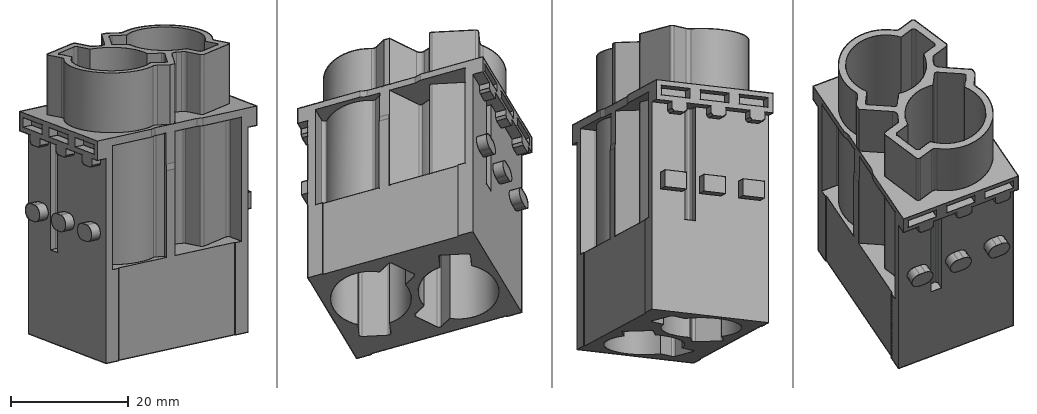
import cadquery as cq
import math

edge_tolerance = 0.05

height = 50.4
body_width = 21.85
body_depth = 30.3
flange_depth = 34.0
flange_bottom = 36.35
flange_top = 39.8
half_width = body_width / 2
half_depth = body_depth / 2
overhang = (flange_depth - body_depth) / 2

socket_center = (-2.0, 7.22)
opposite_center = (-socket_center[0], -socket_center[1])
bore_radius = 6.85
tube_radius = 8.1
outer_key_angle = 18.0
inner_key_angle = 238.0
key_reach = 9.3
key_half_width = 2.7
outer_key_wall_end = 1.38
inner_key_wall_end = 1.18
key_wall_side = 1.5
key_corner_radius = 0.5
tube_half_width = 10.65
tube_valley_radius = 1.0
core_valley_radius = 0.5

window_bottom = 16.4
window_top = 38.4
window_end = 13.75
web_start = 0.3
web_end = 2.1
window_reach = 5.0
window_corner_radius = 0.5

face_recess_half_length = 12.4
face_recess_half_width = 10.74
relief_half_width = 10.6
relief_half_length = 5.53
relief_floor_half_length = 4.44
relief_bottom = 31.8
relief_ramp_top = 32.9

slit_left = -4.71
slit_right = -2.75
slit_depth = 2.2
slit_corner_radius = 0.35

pitch = 7.3
columns = (-pitch, 0.0, pitch)
pocket_width = 5.36
pocket_bottom = 37.24
pocket_height = 1.7
pocket_depth = overhang
hook_offset = 0.7
hook_width = 2.8
hook_drop = 1.65
hook_chamfer = 0.42
peg_width = 4.0
peg_height = 2.95
peg_center_z = 22.72


def block(x_range, y_range, z_range):
    """Box spanning the given coordinate ranges."""
    (x0, x1), (y0, y1), (z0, z1) = x_range, y_range, z_range
    return cq.Workplane("XY").box(x1 - x0, y1 - y0, z1 - z0, centered=False).translate((x0, y0, z0))


def half_turn(shape):
    """The shape turned half a turn about the Z axis."""
    return shape.rotate((0, 0, 0), (0, 0, 1), 180)


def with_opposite(shape):
    """The shape joined with its half-turned copy."""
    return shape.union(half_turn(shape))


def socket_profile(radius, outer_reach, inner_reach, tab_half_width, bottom, top):
    """Cylinder with two radial key tabs, placed on the first socket axis."""
    depth = top - bottom
    shape = cq.Workplane("XY").circle(radius).extrude(depth)
    for angle, reach in ((outer_key_angle, outer_reach), (inner_key_angle, inner_reach)):
        tab = block((0, reach), (-tab_half_width, tab_half_width), (0, depth))
        shape = shape.union(tab.rotate((0, 0, 0), (0, 0, 1), angle))
    return shape.translate((*socket_center, bottom))


def axis_distance(edge, axes):
    """Distance of a vertical edge from the nearest of the given socket axes."""
    point = edge.Center()
    return min(math.hypot(point.x - x, point.y - y) for x, y in axes)


def fillet_where(shape, radius, is_chosen):
    """Round the vertical edges that satisfy a condition."""
    edges = [edge for edge in shape.edges("|Z").vals() if is_chosen(edge)]
    return shape.newObject(edges).fillet(radius)


def make_tubes(valley_radius, bottom, top):
    """Joined outer shape of both sockets, with rounded corners and valleys."""
    outer_reach = key_reach + outer_key_wall_end
    inner_reach = key_reach + inner_key_wall_end
    tab_half_width = key_half_width + key_wall_side
    tube = socket_profile(tube_radius, outer_reach, inner_reach, tab_half_width, bottom, top)
    tubes = with_opposite(tube)
    trim = block((-tube_half_width, tube_half_width), (-flange_depth, flange_depth), (bottom, top))
    tubes = tubes.intersect(trim)
    valley_limit = tube_radius + edge_tolerance
    corner_limit = math.hypot(outer_reach, tab_half_width) - edge_tolerance
    axes = (socket_center, opposite_center)
    tubes = fillet_where(tubes, valley_radius, lambda edge: axis_distance(edge, axes) < valley_limit)
    return fillet_where(tubes, key_corner_radius, lambda edge: axis_distance(edge, axes) > corner_limit)


def make_bores():
    """Keyed openings that run through the full height."""
    bore = socket_profile(bore_radius, key_reach, key_reach, key_half_width, 0, height)
    corner_limit = math.hypot(key_reach, key_half_width) - edge_tolerance
    axes = (socket_center,)
    bore = fillet_where(bore, key_corner_radius, lambda edge: axis_distance(edge, axes) > corner_limit)
    return with_opposite(bore)


def on_window_end_wall(edge):
    """True for inner window edges that lie on the wall at the far end along Y."""
    point = edge.Center()
    at_end_wall = abs(abs(point.y) - window_end) < edge_tolerance
    return at_end_wall and point.x > edge_tolerance - half_width


def on_slit_side_wall(edge):
    """True for inner slit edges that lie on one of the two slit sides."""
    point = edge.Center()
    at_side_wall = min(abs(point.x - slit_left), abs(point.x - slit_right)) < edge_tolerance
    return at_side_wall and point.y > edge_tolerance - half_depth


def make_openings():
    """Side windows and wall slits, all stopping at the socket tubes."""
    core = make_tubes(core_valley_radius, window_bottom, window_top)
    openings = cq.Workplane("XY")
    for y_range in ((web_end, window_end), (-window_end, web_start)):
        window = block((-half_width, -window_reach), y_range, (window_bottom, window_top)).cut(core)
        openings = openings.add(fillet_where(window, window_corner_radius, on_window_end_wall))
    slit_y = (-half_depth, slit_depth - half_depth)
    slit = block((slit_left, slit_right), slit_y, (window_bottom, flange_bottom)).cut(core)
    openings = openings.add(fillet_where(slit, slit_corner_radius, on_slit_side_wall))
    return with_opposite(openings.combine())


def make_face_recesses():
    """Shallow steps in the -X face and its opposite, below and across the flange."""
    recess_y = (-face_recess_half_length, face_recess_half_length)
    recess = block((-half_width, -face_recess_half_width), recess_y, (0, window_top))
    across_flange = (
        cq.Workplane("XY")
        .workplane(offset=window_top)
        .moveTo(-half_width, -relief_half_length)
        .lineTo(-relief_half_width, -relief_floor_half_length)
        .lineTo(-relief_half_width, relief_floor_half_length)
        .lineTo(-half_width, relief_half_length)
        .close()
        .extrude(flange_top - window_top)
    )
    along_web = (
        cq.Workplane("XZ")
        .moveTo(-face_recess_half_width, relief_bottom)
        .lineTo(-relief_half_width, relief_ramp_top)
        .lineTo(-relief_half_width, window_top)
        .lineTo(-face_recess_half_width, window_top)
        .close()
        .extrude(relief_floor_half_length, both=True)
    )
    return with_opposite(recess.union(across_flange).union(along_web))


def make_hooks():
    """Small lugs hanging below the flange overhang."""
    hooks = cq.Workplane("XY")
    for x in columns:
        left = x + hook_offset - hook_width / 2
        y_range = (-flange_depth / 2, -half_depth)
        hook = block((left, left + hook_width), y_range, (flange_bottom - hook_drop, flange_bottom))
        hooks = hooks.add(hook.faces("<Z").edges("|Y").chamfer(hook_chamfer))
    return with_opposite(hooks.combine())


def make_pegs():
    """Rounded pegs on the -Y face and square-ended ones on the +Y face."""
    pegs = cq.Workplane("XY")
    z_range = (peg_center_z - peg_height / 2, peg_center_z + peg_height / 2)
    for x in columns:
        front_peg = (
            cq.Workplane("XZ", origin=(x, -half_depth, peg_center_z))
            .slot2D(peg_width, peg_height)
            .extrude(overhang)
        )
        rear_peg = block((x - peg_width / 2, x + peg_width / 2), (half_depth, half_depth + overhang), z_range)
        pegs = pegs.add(front_peg).add(rear_peg)
    return pegs.combine()


def make_flange_pockets():
    """Rectangular pockets in the flange edge."""
    pockets = cq.Workplane("XY")
    front = -flange_depth / 2
    z_range = (pocket_bottom, pocket_bottom + pocket_height)
    for x in columns:
        x_range = (x - pocket_width / 2, x + pocket_width / 2)
        pockets = pockets.add(block(x_range, (front, front + pocket_depth), z_range))
    return with_opposite(pockets.combine())


body = block((-half_width, half_width), (-half_depth, half_depth), (0, flange_top))
flange_y = (-flange_depth / 2, flange_depth / 2)
flange = block((-half_width, half_width), flange_y, (flange_bottom, flange_top))

result = (
    body.union(flange)
    .cut(make_face_recesses())
    .cut(make_openings())
    .cut(make_flange_pockets())
    .union(make_hooks())
    .union(make_pegs())
    .union(make_tubes(tube_valley_radius, flange_top, height))
    .cut(make_bores())
)